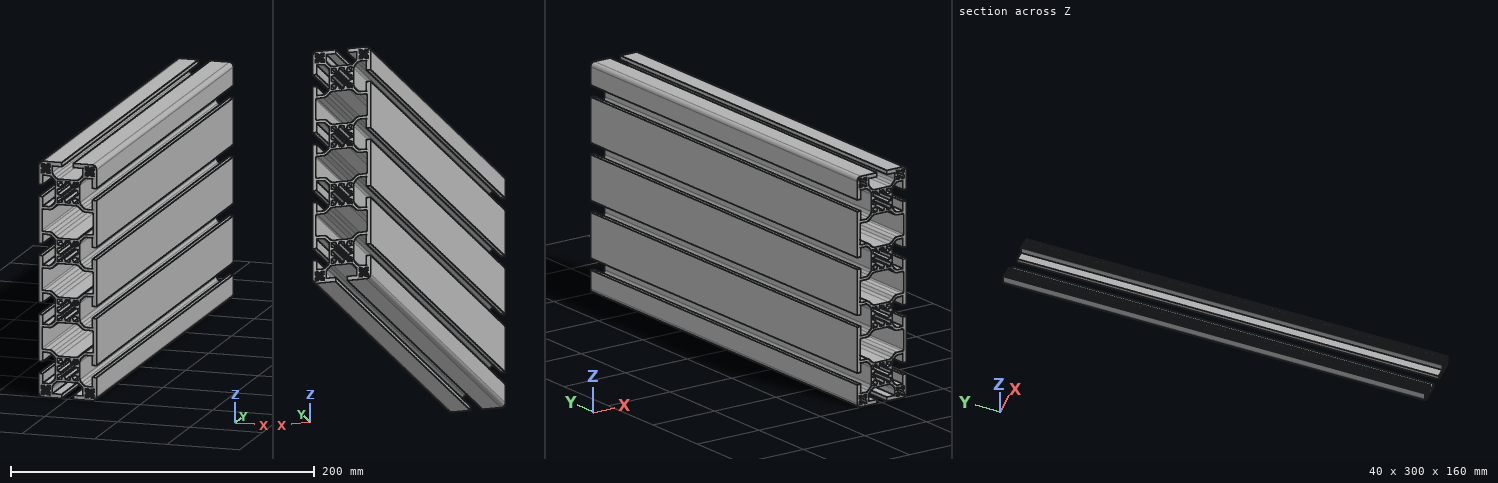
import cadquery as cq
length = 300.0
height = 160.0
cell_count = 4
cell = height / cell_count
width = cell
corner_radius = 3.0

slot_opening = 8.0
slot_inner_width = 21.0
lip_thickness = 2.85
slot_bevel_depth = 8.0
core_depth = 11.5
slot_bevel_radius = 3.0

wall_thickness = 2.5
web_thickness = 1.95
chamber_end_width = 14.0
chamber_bevel_radius = 4.0
chamber_corner_radius = 1.0

core_wall = 1.5
core_rib_base = 3.0
core_rib_tip = 1.2
core_rib_height = 2.25
core_rib_offset = 2.85

corner_hole_size = 6.0
corner_hole_center = 4.8
corner_rib_base = 2.5
corner_rib_tip = 1.8
corner_rib_height = 0.75

pick_margin = 0.3


def prism(points):
    """Extrude a closed (x, z) outline over the full length, centred on the origin."""
    return cq.Workplane("XZ").polyline(points).close().extrude(length / 2, both=True)


def slot_cutter():
    """T-slot opening upward at the top face of a cell centred on the origin."""
    face = cell / 2
    half_opening = slot_opening / 2
    half_inner = slot_inner_width / 2
    half_floor = half_inner - (core_depth - slot_bevel_depth)
    right_side = [
        (half_opening, face),
        (half_opening, face - lip_thickness),
        (half_inner, face - lip_thickness),
        (half_inner, face - slot_bevel_depth),
        (half_floor, face - core_depth),
    ]
    left_side = [(-x, z) for x, z in reversed(right_side)]
    bevel_zone = cq.selectors.BoxSelector(
        (-half_inner - pick_margin, -length, face - core_depth - pick_margin),
        (half_inner + pick_margin, length, face - slot_bevel_depth + pick_margin),
    )
    sharp_slot = prism(right_side + left_side)
    return sharp_slot.edges("|Y").edges(bevel_zone).fillet(slot_bevel_radius)


def chamber_cutter():
    """Hollow between two cores, centred on the origin."""
    half_width = width / 2 - wall_thickness
    half_height = (cell - slot_inner_width) / 2 - web_thickness
    half_end = chamber_end_width / 2
    bevel_start = half_end + core_depth - half_height
    upper_right = [
        (half_width, half_height),
        (bevel_start, half_height),
        (half_end, core_depth),
    ]
    upper = upper_right + [(-x, z) for x, z in reversed(upper_right)]
    lower = [(-x, -z) for x, z in upper]
    bevel_zone = cq.selectors.BoxSelector(
        (-bevel_start - pick_margin, -length, -core_depth - pick_margin),
        (bevel_start + pick_margin, length, core_depth + pick_margin),
    )
    sharp_chamber = prism(upper + lower)
    wall_corners = sharp_chamber.edges("|Y and (<X or >X)")
    rounded_chamber = wall_corners.fillet(chamber_corner_radius)
    return rounded_chamber.edges("|Y").edges(bevel_zone).fillet(chamber_bevel_radius)


def ribbed_hole_cutter(size, rib_offsets, rib_base, rib_tip, rib_height):
    """Square hole whose sides carry tapered ribs at the given offsets."""
    half = size / 2
    side = [(-half, half)]
    for offset in rib_offsets:
        side += [
            (offset - rib_base / 2, half),
            (offset - rib_tip / 2, half - rib_height),
            (offset + rib_tip / 2, half - rib_height),
            (offset + rib_base / 2, half),
        ]
    outline = []
    for _ in range(4):
        outline += side
        side = [(z, -x) for x, z in side]
    return prism(outline)


def turned(cutter, angle):
    """Turn a cutter about the Y axis."""
    return cutter.rotate((0, 0, 0), (0, 1, 0), angle)


cell_centers = [(i - (cell_count - 1) / 2) * cell for i in range(cell_count)]
chamber_centers = [z + cell / 2 for z in cell_centers[:-1]]

result = cq.Workplane("XY").box(width, length, height).edges("|Y").fillet(corner_radius)

slot = slot_cutter()
for z in cell_centers:
    result = result.cut(turned(slot, 90).translate((0, 0, z)))
    result = result.cut(turned(slot, -90).translate((0, 0, z)))
result = result.cut(slot.translate((0, 0, cell_centers[-1])))
result = result.cut(turned(slot, 180).translate((0, 0, cell_centers[0])))

chamber = chamber_cutter()
for z in chamber_centers:
    result = result.cut(chamber.translate((0, 0, z)))

core_hole = ribbed_hole_cutter(
    cell - 2 * (core_depth + core_wall),
    [-core_rib_offset, core_rib_offset],
    core_rib_base,
    core_rib_tip,
    core_rib_height,
)
for z in cell_centers:
    result = result.cut(core_hole.translate((0, 0, z)))

corner_hole = ribbed_hole_cutter(
    corner_hole_size, [0], corner_rib_base, corner_rib_tip, corner_rib_height
)
for x_sign in (-1, 1):
    for z_sign in (-1, 1):
        x = x_sign * (width / 2 - corner_hole_center)
        z = z_sign * (height / 2 - corner_hole_center)
        result = result.cut(corner_hole.translate((x, 0, z)))